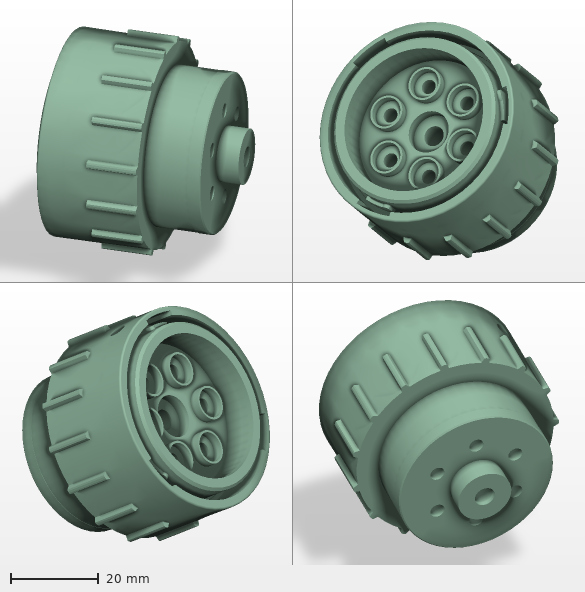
import cadquery as cq
import math


shell_dia = 40.3
shell_bore_dia = 34.6
shell_bore_depth = 8.5
shell_chamfer = 0.65

ring_start = 1.4
ring_length = 24.0
ring_end = ring_start + ring_length
ring_front_dia = 48.5
ring_back_dia = 48.25
ring_edge_fillet = 0.45
ring_bore_dia = 44.1
ring_bore_end = 10.0
gap_dia = 42.1
gap_end = 11.0
ring_hole_dia = 4.0
ring_hole_x = 8.0
ring_hole_angle = 140.0

rib_count = 15
rib_length = 11.9
rib_start = ring_end - rib_length
rib_tip_radius = 25.41
rib_tip_width = 0.52
rib_shoulder_radius = 25.29
rib_shoulder_width = 1.28
rib_base_radius = 23.8
rib_base_width = 2.33

recess_dia = 46.2
recess_first_angle = 1.5
recess_half_angle = 11.6
recess_count = 3

lug_angles = [(-5.5, 6.8, 14.4), (109.6, 123.9, 128.5), (230.0, 244.2, 249.0)]
lug_foot_x = 3.6
lug_top_x = 3.0
lug_nose_height = 0.5
lug_back_x = 6.0

keys = [(180.0, 3.0), (70.0, 2.1), (-70.0, 2.1)]
key_start = 9.0

rear_dia = 37.5
cap_dia = 37.7
cap_start = 35.75
cap_end = 38.85
cap_chamfer = 0.3
stem_dia = 13.0
overall_length = 44.2

socket_count = 6
socket_circle_radius = 11.0
socket_outer_dia = 8.0
socket_inner_dia = 7.0
socket_height = 2.4
contact_hole_dia = 3.43
center_recess_dia = 10.0
center_recess_depth = 3.0
center_hole_dia = 4.83


def cylinder(start, end, dia, y=0.0, z=0.0):
    """Solid cylinder along X."""
    return cq.Workplane("YZ", origin=(start, y, z)).circle(dia / 2).extrude(end - start)


def tube(start, end, outer_dia, inner_dia):
    """Hollow cylinder on the main axis."""
    return cylinder(start, end, outer_dia).cut(cylinder(start, end, inner_dia))


def turned(solid, angle):
    """Turn a solid made on the -Y side to its angle around the axis."""
    return solid.rotate((0, 0, 0), (1, 0, 0), -angle)


def make_shell():
    shell = cylinder(0, gap_end, shell_dia).faces("<X").chamfer(shell_chamfer)
    return shell.cut(cylinder(0, shell_bore_depth, shell_bore_dia))


def make_rib():
    tip = rib_tip_width / 2
    shoulder = rib_shoulder_width / 2
    base = rib_base_width / 2
    outline = [
        (-rib_base_radius, -base),
        (-rib_shoulder_radius, -shoulder),
        (-rib_tip_radius, -tip),
        (-rib_tip_radius, tip),
        (-rib_shoulder_radius, shoulder),
        (-rib_base_radius, base),
    ]
    plane = cq.Workplane("YZ", origin=(rib_start, 0, 0))
    return plane.polyline(outline).close().extrude(rib_length)


def make_recess(angle):
    reach = recess_dia
    spread = reach * math.tan(math.radians(recess_half_angle))
    sector = (
        cq.Workplane("YZ", origin=(ring_start, 0, 0))
        .polyline([(0, 0), (-reach, spread), (-reach, -spread)])
        .close()
        .extrude(ring_bore_end - ring_start)
    )
    return turned(sector.intersect(cylinder(ring_start, ring_bore_end, recess_dia)), angle)


def make_ring():
    ring = (
        cq.Workplane("XY")
        .polyline(
            [
                (ring_start, 0),
                (ring_start, ring_front_dia / 2),
                (ring_end, ring_back_dia / 2),
                (ring_end, 0),
            ]
        )
        .close()
        .revolve(360, (0, 0, 0), (1, 0, 0))
        .faces("<X")
        .edges()
        .fillet(ring_edge_fillet)
    )
    for i in range(rib_count):
        ring = ring.union(turned(make_rib(), 180 + i * 360 / rib_count))
    ring = ring.cut(cylinder(ring_start, ring_bore_end, ring_bore_dia))
    ring = ring.cut(cylinder(ring_start, gap_end, gap_dia))
    for i in range(recess_count):
        ring = ring.cut(make_recess(recess_first_angle + i * 360 / recess_count))
    hole_plane = cq.Workplane("XZ", origin=(ring_hole_x, -shell_dia / 2, 0))
    hole = hole_plane.circle(ring_hole_dia / 2).extrude(ring_front_dia - shell_dia)
    return ring.cut(turned(hole, ring_hole_angle))


def make_lug(foot_angle, top_angle, nose_angle):
    """Ramp rising to a rounded nose, standing on the outside of the shell."""
    middle = (foot_angle + nose_angle) / 2

    def offset(angle):
        return gap_dia / 2 * math.sin(math.radians(angle - middle))

    nose_peak = (lug_top_x - lug_nose_height, offset((top_angle + nose_angle) / 2))
    block = (
        cq.Workplane("XZ")
        .moveTo(lug_back_x, offset(foot_angle))
        .lineTo(lug_foot_x, offset(foot_angle))
        .lineTo(lug_top_x, offset(top_angle))
        .threePointArc(nose_peak, (lug_top_x, offset(nose_angle)))
        .lineTo(lug_back_x, offset(nose_angle))
        .close()
        .extrude(gap_dia)
    )
    return turned(block, middle).intersect(tube(0, gap_end, gap_dia, shell_dia))


def make_key(angle, width):
    block = (
        cq.Workplane("XZ", origin=((key_start + gap_end) / 2, 0, 0))
        .rect(gap_end - key_start, width)
        .extrude(gap_dia)
    )
    return turned(block, angle).intersect(tube(0, gap_end, gap_dia, shell_dia))


def make_rear():
    body = cylinder(ring_end, cap_start, rear_dia)
    cap = cylinder(cap_start, cap_end, cap_dia).faces(">X").chamfer(cap_chamfer)
    return body.union(cap).union(cylinder(cap_end, overall_length, stem_dia))


def add_contacts(body):
    socket_face = shell_bore_depth - socket_height
    for i in range(socket_count):
        angle = math.radians(90 + i * 360 / socket_count)
        y = socket_circle_radius * math.cos(angle)
        z = socket_circle_radius * math.sin(angle)
        body = body.union(cylinder(socket_face, shell_bore_depth, socket_outer_dia, y, z))
        body = body.cut(cylinder(socket_face, shell_bore_depth, socket_inner_dia, y, z))
        body = body.cut(cylinder(socket_face, cap_end, contact_hole_dia, y, z))
    recess_floor = shell_bore_depth + center_recess_depth
    body = body.cut(cylinder(shell_bore_depth, recess_floor, center_recess_dia))
    return body.cut(cylinder(recess_floor, overall_length, center_hole_dia))


body = make_ring().union(make_shell()).union(make_rear())
for angles in lug_angles:
    body = body.union(make_lug(*angles))
for key_angle, key_width in keys:
    body = body.union(make_key(key_angle, key_width))
result = add_contacts(body)